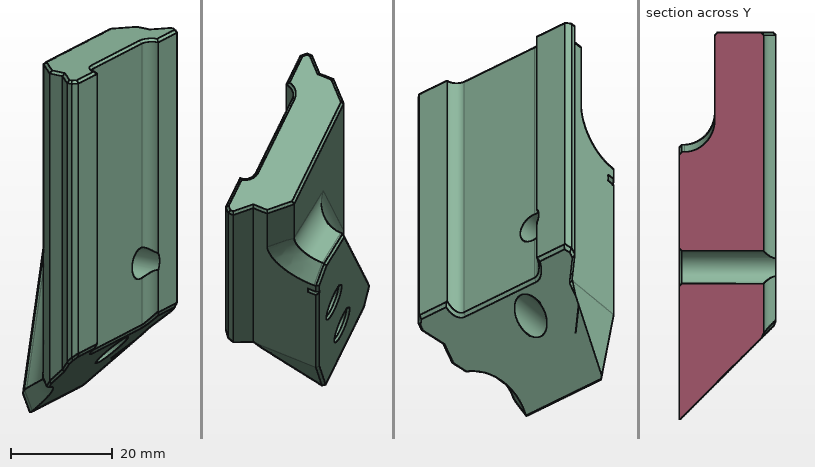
import cadquery as cq
import math

height = 75.9
thickness = 19.0
width = 38.0
half_width = width / 2
bevel = 0.5
margin = 22.8

face_x = 7.0
face_half = 12.0
neck_half = 16.0
neck_start_x = face_x + neck_half - face_half
neck_end_x = 14.0
tip_x = neck_end_x + half_width - neck_half
tip_bevel = 1.0
channel_half = 11.1
channel_x = 16.6
channel_radius = thickness - channel_x

cut_drop = 0.2

peak = (face_half, 53.9)
shoulder = (3.0, 50.4)
heel = (-8.9, 5.6)
toe_right = (-5.9, 0.0)
toe_left = (13.0, 0.0)
back_low = (neck_half, 14.35)
back_top = (neck_half, 51.3)
blade_edge = 1.0
flare_radius = face_x - blade_edge
upper_slope = (peak[1] - shoulder[1]) / (peak[0] - shoulder[0])
flare_top = peak[1] + flare_radius * math.hypot(1, upper_slope)
lip_x = 6.1

trim_upper = (6.4, -11.4, 10.1)
trim_lower = (9.6, -14.6)

notch_z = 48.0
notch_half = 0.75
notch_depth = 0.8
notch_reach = 2.3

hole_diameter = 6.4
hole_centres = [(8.4, 29.8), (4.55, 12.15)]


def concave_quarter(start, end):
    """Middle point of a quarter round that leaves start along its first axis."""
    bend = math.sqrt(0.5)
    return (
        start[0] + (end[0] - start[0]) * bend,
        end[1] + (start[1] - end[1]) * bend,
    )


def above_cut():
    """Everything above the 45 degree lower end and its short flat tip."""
    low, high = -margin, thickness + margin
    return (
        cq.Workplane("XZ")
        .moveTo(low, 0)
        .lineTo(cut_drop, 0)
        .lineTo(high, high - cut_drop)
        .lineTo(high, height + margin)
        .lineTo(low, height + margin)
        .close()
        .extrude(2 * margin, both=True)
    )


def make_rail():
    """Main bar with its lipped section, back channel and bevelled ends."""
    half_section = [
        (face_x, face_half),
        (neck_start_x, neck_half),
        (neck_end_x, neck_half),
        (tip_x, half_width),
        (thickness - tip_bevel, half_width),
        (thickness, half_width - tip_bevel),
    ]
    mirrored = [(x, -y) for x, y in reversed(half_section)]
    rail = cq.Workplane("XY").polyline(half_section + mirrored).close().extrude(height)
    channel = (
        cq.Workplane("XY")
        .rect(2 * (thickness - channel_x), 2 * channel_half)
        .extrude(height)
        .translate((thickness, 0, 0))
        .edges("|Z and <X")
        .fillet(channel_radius)
    )
    rail = rail.cut(channel).intersect(above_cut())
    rail = rail.faces(">Z").chamfer(bevel)
    return rail.faces("<(-1,0,1)").chamfer(bevel)


def inside_edge(start, end, flared):
    """Material to the left of a blade edge running from start to end in (y, z)."""
    plane = cq.Plane(
        origin=(0, start[0], start[1]),
        xDir=(1, 0, 0),
        normal=(0, end[0] - start[0], end[1] - start[1]),
    )
    deep = -4 * margin
    outline = (
        cq.Workplane(plane)
        .moveTo(thickness, deep)
        .lineTo(0, deep)
        .lineTo(0, -bevel)
        .lineTo(bevel, 0)
    )
    if flared:
        flare_start = (blade_edge, 0)
        flare_end = (face_x, flare_radius)
        outline = outline.lineTo(*flare_start)
        outline = outline.threePointArc(concave_quarter(flare_start, flare_end), flare_end)
        outline = outline.lineTo(thickness, flare_radius)
    else:
        outline = outline.lineTo(thickness, 0)
    return outline.close().extrude(5 * margin, both=True)


def upper_corner():
    """Blade behind its peak, with a flare that widens over the slanted rail face."""
    stations = [
        (peak, face_x),
        (back_top, neck_start_x),
    ]
    wires = []
    for (y, edge_z), end_x in stations:
        start = (blade_edge, edge_z)
        end = (end_x, flare_top)
        section = (
            cq.Workplane("XZ", origin=(0, y, 0))
            .moveTo(0, 0)
            .lineTo(0, edge_z - bevel)
            .lineTo(bevel, edge_z)
            .lineTo(*start)
            .threePointArc(concave_quarter(start, end), end)
            .lineTo(end_x + bevel, flare_top)
            .lineTo(end_x + bevel, 0)
            .close()
        )
        wires.append(section.val())
    return cq.Workplane(obj=cq.Solid.makeLoft(wires, True))


def make_blade():
    """Raised blade on the rail face, bounded edge by edge."""
    flank = (
        cq.Workplane("XY")
        .rect(face_x + bevel, face_half + margin, centered=False)
        .extrude(height)
        .translate((0, -margin, 0))
        .intersect(inside_edge(peak, shoulder, True))
    )
    blade = flank.union(upper_corner())
    blade = blade.intersect(inside_edge(shoulder, heel, True))
    blade = blade.intersect(inside_edge(back_low, back_top, False))
    blade = blade.intersect(inside_edge(toe_left, back_low, False))
    lip = (
        cq.Workplane("XY")
        .polyline([
            (lip_x, face_x - face_half - lip_x),
            (thickness, face_x - face_half - thickness),
            (lip_x, face_x - face_half - thickness),
        ])
        .close()
        .extrude(height)
    )
    return blade.cut(lip).intersect(above_cut())


def toe_trim():
    """Waste beside the toe: a ruled flare from the heel down to the 45 degree cut."""
    tilt = (trim_upper[2] - heel[1]) / (trim_upper[0] - bevel)

    def upper(x, y):
        return cq.Vector(x, y, heel[1] + (x - bevel) * tilt)

    def lower(x, y):
        return cq.Vector(x, y, x - cut_drop)

    rims = []
    for place, side_y, end in ((upper, heel[0], trim_upper[:2]), (lower, toe_right[0], trim_lower)):
        start = (bevel, side_y)
        front = (-blade_edge, side_y)
        corners = [end, (end[0], -margin), (front[0], -margin), front, start]
        arc = cq.Edge.makeThreePointArc(
            place(*start), place(*concave_quarter(start, end)), place(*end)
        )
        lines = [cq.Edge.makeLine(place(*a), place(*b)) for a, b in zip(corners, corners[1:])]
        rims.append([arc] + lines)
    walls = [cq.Face.makeRuledSurface(high, low) for high, low in zip(*rims)]
    ends = [cq.Face.makeFromWires(cq.Wire.assembleEdges(rim)) for rim in rims]
    return cq.Workplane(obj=cq.Solid.makeSolid(cq.Shell.makeShell(walls + ends)))


def back_trim():
    """Waste behind the slanted lower back edge."""
    return (
        cq.Workplane("YZ")
        .polyline([toe_left, back_low, (margin, back_low[1]), (margin, toe_left[1])])
        .close()
        .extrude(thickness)
    )


def back_notch():
    """Small V nick in the back edge of the blade face."""
    return (
        cq.Workplane("YZ")
        .polyline([
            (neck_half, notch_z - notch_half),
            (neck_half, notch_z + notch_half),
            (neck_half - notch_depth, notch_z),
        ])
        .close()
        .extrude(notch_reach)
    )


def screw_hole(centre):
    """Through hole along X with a bevelled mouth on the blade face."""
    radius = hole_diameter / 2
    face_point = cq.Vector(0, *centre)
    inward = cq.Vector(1, 0, 0)
    bore = cq.Solid.makeCylinder(radius, thickness, face_point, inward)
    mouth = cq.Solid.makeCone(radius + bevel, radius, bevel, face_point, inward)
    return bore.fuse(mouth)


result = make_rail().union(make_blade())
result = result.cut(toe_trim()).cut(back_trim()).cut(back_notch())
for hole_centre in hole_centres:
    result = result.cut(cq.Workplane(obj=screw_hole(hole_centre)))